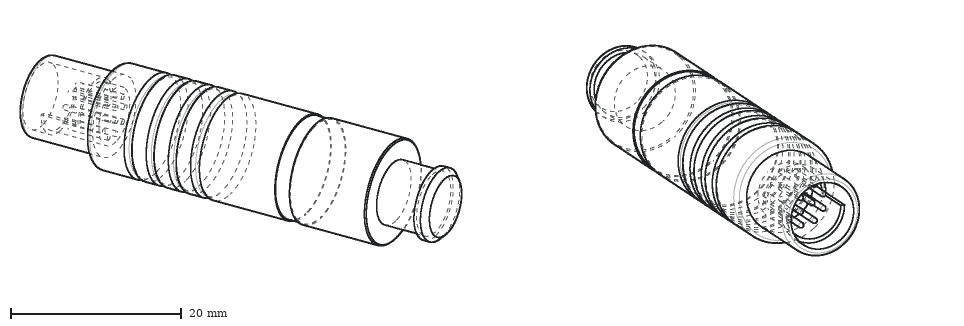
import cadquery as cq
import math


total_length = 55.0
shoulder_x = 10.0
grip_end_x = 47.95
neck_end_x = 53.35

socket_radius = 5.0
grip_radius = 6.5
neck_radius = 3.95
flange_radius = 4.5
edge_round = 0.5
grip_end_chamfer = 0.15
flange_chamfer = 0.75

groove_count = 4
groove_start_x = 15.2
last_groove_start_x = 24.2
groove_pitch = (last_groove_start_x - groove_start_x) / (groove_count - 1)
groove_ramp_length = 0.5
groove_ramp_drop = 0.3
groove_length = 1.05
last_rim_chamfer = 0.15

band_start_x = 35.65
band_length = 2.0
band_depth = 0.15

mouth_radius = 4.05
mouth_depth = 2.5
upper_mouth_depth = 7.5
bore_radius = 3.6
bore_depth = shoulder_x

pin_radius = 0.35
pin_tip_x = 4.5
inner_pin_count = 3
inner_pin_circle = 1.0
outer_pin_count = 9
outer_pin_circle = 2.6


def cylinder(start_x, end_x, radius):
    """Solid cylinder along the X axis."""
    return cq.Workplane("YZ", origin=(start_x, 0, 0)).circle(radius).extrude(end_x - start_x)


def finger_groove(start_x, rim_chamfer):
    """Ring of material removed for one finger groove."""
    end_x = start_x + groove_length
    profile = (
        cq.Workplane("XY")
        .moveTo(start_x, grip_radius)
        .lineTo(start_x + groove_ramp_length, grip_radius - groove_ramp_drop)
        .tangentArcPoint((end_x, grip_radius - rim_chamfer), relative=False)
    )
    if rim_chamfer > 0:
        profile = profile.lineTo(end_x + rim_chamfer, grip_radius)
    return profile.close().revolve(360, (0, 0, 0), (1, 0, 0))


def contact_pins(count, circle_radius, first_angle):
    """Round-tipped pins evenly spaced on a circle."""
    tip_center_x = pin_tip_x + pin_radius
    tip = cq.Workplane("XY", origin=(tip_center_x, 0, 0)).sphere(pin_radius)
    pin = cylinder(tip_center_x, bore_depth, pin_radius).union(tip)
    pins = cq.Workplane("XY")
    for index in range(count):
        angle = first_angle + index * 2 * math.pi / count
        offset_y = circle_radius * math.cos(angle)
        offset_z = circle_radius * math.sin(angle)
        pins = pins.union(pin.translate((0, offset_y, offset_z)))
    return pins


socket = cylinder(0, shoulder_x, socket_radius).faces("<X").edges().fillet(edge_round)
grip = (
    cylinder(shoulder_x, grip_end_x, grip_radius)
    .faces("<X").edges().fillet(edge_round)
    .faces(">X").edges().chamfer(grip_end_chamfer)
)
neck = cylinder(grip_end_x, neck_end_x, neck_radius)
flange = cylinder(neck_end_x, total_length, flange_radius).faces(">X").edges().chamfer(flange_chamfer)
result = socket.union(grip).union(neck).union(flange)

for index in range(groove_count):
    is_last = index == groove_count - 1
    rim_chamfer = last_rim_chamfer if is_last else 0
    result = result.cut(finger_groove(groove_start_x + index * groove_pitch, rim_chamfer))

band_end_x = band_start_x + band_length
band_sleeve = cylinder(band_start_x, band_end_x, grip_radius)
band_core = cylinder(band_start_x, band_end_x, grip_radius - band_depth)
result = result.cut(band_sleeve.cut(band_core))

upper_half = cq.Workplane("XY").box(
    upper_mouth_depth, 2 * mouth_radius, mouth_radius, centered=(False, True, False)
)
result = result.cut(cylinder(0, mouth_depth, mouth_radius))
result = result.cut(cylinder(0, upper_mouth_depth, mouth_radius).intersect(upper_half))
result = result.cut(cylinder(0, bore_depth, bore_radius))

result = result.union(contact_pins(inner_pin_count, inner_pin_circle, math.pi))
result = result.union(contact_pins(outer_pin_count, outer_pin_circle, 0))